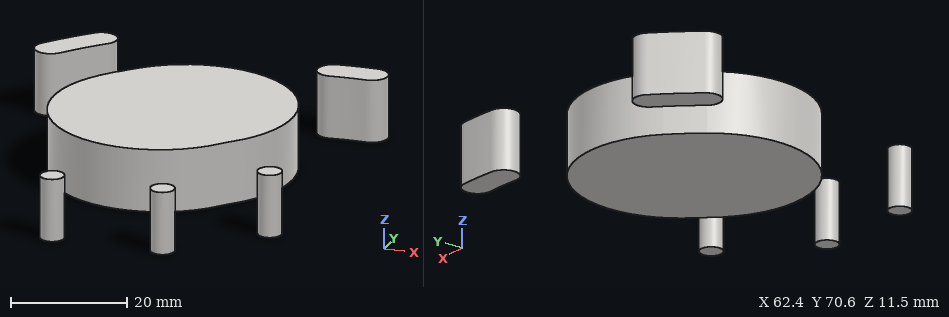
import cadquery as cq
import math

height = 11.5
pin_diameter = 4.3

outer_pin_pitch = 20.05
near_pin_x = -14.95
outer_pin_y = -13.6

swing_angle = 8.0
near_start_angle = 87.6
far_start_angle = near_start_angle + 45.0

key_width = 5.8
near_key_radius = 49.95
far_key_radius = 70.55

disc_width = 39.1
disc_path_radius = 35.3


def polar_point(radius, angle):
    """Point at a radius and an angle in degrees about the pivot."""
    return (radius * math.cos(math.radians(angle)), radius * math.sin(math.radians(angle)))


def make_arc_body(path_radius, start_angle, width):
    """Prism traced by a circle of the given width swinging about the pivot."""
    half_width = width / 2
    inner_radius = path_radius - half_width
    outer_radius = path_radius + half_width
    middle_angle = start_angle + swing_angle / 2
    end_angle = start_angle + swing_angle

    start_x, start_y = polar_point(path_radius, start_angle)
    start_cap_x, start_cap_y = polar_point(half_width, start_angle - 90)
    end_x, end_y = polar_point(path_radius, end_angle)
    end_cap_x, end_cap_y = polar_point(half_width, end_angle + 90)

    return (
        cq.Workplane("XY")
        .moveTo(*polar_point(outer_radius, start_angle))
        .threePointArc(polar_point(outer_radius, middle_angle), polar_point(outer_radius, end_angle))
        .threePointArc((end_x + end_cap_x, end_y + end_cap_y), polar_point(inner_radius, end_angle))
        .threePointArc(polar_point(inner_radius, middle_angle), polar_point(inner_radius, start_angle))
        .threePointArc(
            (start_x + start_cap_x, start_y + start_cap_y),
            polar_point(outer_radius, start_angle),
        )
        .close()
        .extrude(height)
    )


def make_pin(x, y):
    """Plain round pin standing at (x, y)."""
    return cq.Workplane("XY").center(x, y).circle(pin_diameter / 2).extrude(height)


disc = make_arc_body(disc_path_radius, far_start_angle, disc_width)

keys = []
for path_radius, start_angle in [
    (near_key_radius, near_start_angle),
    (far_key_radius, far_start_angle),
]:
    keys.append(make_arc_body(path_radius, start_angle, key_width).val())

pins = []
for x, y in [
    (0, 0),
    (near_pin_x, outer_pin_y),
    (near_pin_x - outer_pin_pitch, outer_pin_y),
]:
    pins.append(make_pin(x, y).val())

result = cq.Compound.makeCompound([disc.val(), *keys, *pins])